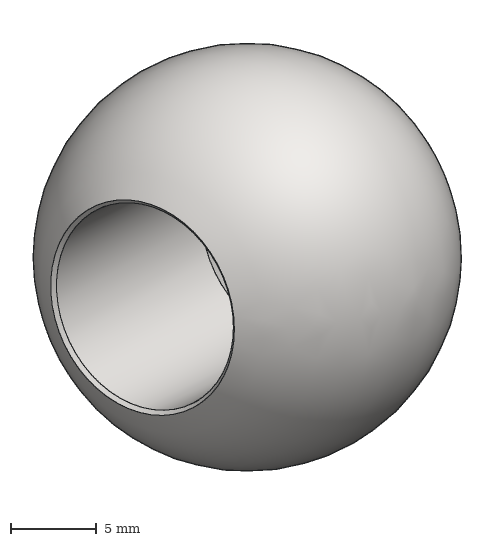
import cadquery as cq
import math

ball_diameter = 25.0
width_over_rim = 23.15
hole_diameter = 12.6
hole_depth = 15.0
drill_point_angle = 118.0

ball_radius = ball_diameter / 2
hole_radius = hole_diameter / 2
rim_y = ball_radius - width_over_rim
rim_radius = math.sqrt(ball_radius**2 - rim_y**2)
mouth_chamfer = rim_radius - hole_radius
wall_end_y = rim_y + hole_depth
cone_height = hole_radius / math.tan(math.radians(drill_point_angle / 2))

half_section = (
    cq.Workplane("XY")
    .moveTo(0, wall_end_y + cone_height)
    .lineTo(hole_radius, wall_end_y)
    .lineTo(hole_radius, rim_y + mouth_chamfer)
    .lineTo(rim_radius, rim_y)
    .threePointArc((ball_radius, 0), (0, ball_radius))
    .close()
)

result = half_section.revolve(360, (0, 0), (0, 1))